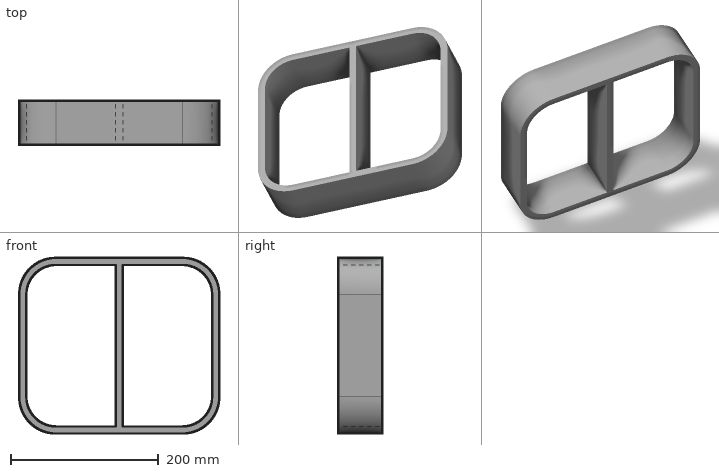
import cadquery as cq

width = 271.0
depth = 60.0
height = 238.0
wall = 10.0
divider = 10.0
corner_radius = 50.0


def rounded_block(size_x, size_z, radius):
    """Block centred on the origin, with its four edges along Y rounded."""
    return cq.Workplane("XY").box(size_x, depth, size_z).edges("|Y").fillet(radius)


def make_frame():
    """Rounded rectangular ring of constant wall thickness, open along Y."""
    outer = rounded_block(width, height, corner_radius)
    opening = rounded_block(width - 2 * wall, height - 2 * wall, corner_radius - wall)
    return outer.cut(opening)


def make_divider():
    """Central upright plate, ending halfway into the top and bottom walls."""
    return cq.Workplane("XY").box(divider, depth, height - wall)


result = make_frame().union(make_divider())